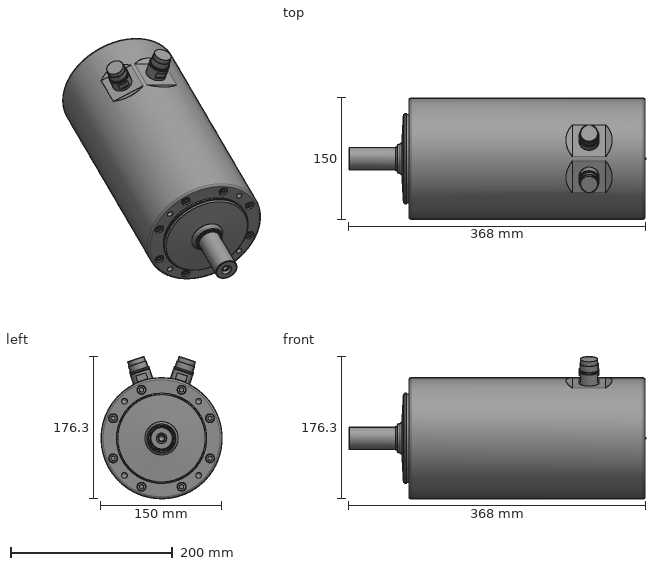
import cadquery as cq
import math


housing_diameter = 150.0
housing_length = 292.5
front_edge_radius = 2.5
rear_edge_radius = 3.0
rear_tip_diameter = 2.2
rear_tip_length = 1.0

pilot_diameter = 110.0
pilot_length = 7.0
pilot_rim_diameter = 112.0
pilot_rim_chamfer = 2.0
pilot_neck_length = 3.3
pilot_cone_length = 2.0

collar_base_diameter = 41.2
collar_diameter = 36.5
collar_face_diameter = 35.0
collar_fillet_radius = 4.0
collar_position = 11.8
collar_face_position = 14.5
seal_diameter = 32.0
seal_position = 15.0
seal_lip_diameter = 29.0
seal_lip_position = 16.5

shaft_diameter = 28.0
shaft_chamfer = 0.7
shaft_length = 74.5
centre_mouth_diameter = 13.0
centre_bore_diameter = 9.0
centre_thread_diameter = 7.0
centre_mouth_depth = 3.3
centre_bore_depth = 4.5
centre_thread_depth = 22.0

bolt_circle_diameter = 130.0
screw_count = 8
screw_first_angle = 22.5
screw_recess_diameter = 11.0
screw_recess_depth = 8.0
screw_head_diameter = 10.0
screw_head_height = 6.0
screw_socket_width = 5.0
hexagon_half_sector = 30
screw_socket_depth = 3.0
thread_count = 4
thread_first_angle = 45
thread_diameter = 7.0
thread_depth = 14.7
drill_point_angle = 118

connector_position = 223.0
connector_tilt = 18
seat_length = 41.2
seat_height = 72.0
seat_ramp_angle = 20

connector_base_diameter = 25.0
connector_base_height = 14.5
connector_flat_spacing = 21.5
connector_flat_bottom = 3.3
connector_flat_height = 7.7
connector_ring_diameter = 25.0
connector_groove_diameter = 23.0
connector_groove_length = 1.0
connector_ring_length = 2.0
connector_sleeve_diameter = 23.0
connector_sleeve_length = 7.7
connector_tip_diameter = 21.5
connector_height = 31.0


def revolved(profile):
    """Turn (X, radius) points about the motor axis."""
    return cq.Workplane("XY").polyline(profile).close().revolve(360, (0, 0, 0), (1, 0, 0))


def drill(diameter, depth, start, y=0.0, z=0.0):
    """Drill along +X with a conical bottom, starting at X = start."""
    radius = diameter / 2
    point_length = radius / math.tan(math.radians(drill_point_angle / 2))
    profile = [(0, 0), (0, radius), (depth, radius), (depth + point_length, 0)]
    return revolved(profile).translate((start, y, z))


def tilted(shape, angle):
    """Swing a shape about the motor axis."""
    return shape.rotate((0, 0, 0), (1, 0, 0), angle)


def bolt_circle(count, first_angle):
    """Y and Z places evenly spaced on the bolt circle."""
    radius = bolt_circle_diameter / 2
    angles = [math.radians(first_angle + 360 / count * i) for i in range(count)]
    return [(radius * math.cos(angle), radius * math.sin(angle)) for angle in angles]


def motor_core():
    """Housing, pilot, seal collar and shaft as one turned shape."""
    housing_radius = housing_diameter / 2
    shaft_radius = shaft_diameter / 2
    pilot_rim_radius = pilot_rim_diameter / 2
    profile = (
        cq.Workplane("XY")
        .moveTo(-shaft_length, 0)
        .lineTo(-shaft_length, shaft_radius - shaft_chamfer)
        .lineTo(-shaft_length + shaft_chamfer, shaft_radius)
        .lineTo(-seal_lip_position, shaft_radius)
        .lineTo(-seal_lip_position, seal_lip_diameter / 2)
        .lineTo(-seal_position, seal_lip_diameter / 2)
        .lineTo(-seal_position, seal_diameter / 2)
        .lineTo(-collar_face_position, seal_diameter / 2)
        .lineTo(-collar_face_position, collar_face_diameter / 2)
        .lineTo(-collar_position, collar_diameter / 2)
        .radiusArc((-pilot_length - pilot_cone_length, collar_base_diameter / 2), -collar_fillet_radius)
        .lineTo(-pilot_length, pilot_rim_radius - pilot_rim_chamfer)
        .lineTo(-pilot_length + pilot_rim_chamfer, pilot_rim_radius)
        .lineTo(-pilot_neck_length, pilot_rim_radius)
        .lineTo(-pilot_neck_length, pilot_diameter / 2)
        .lineTo(0, pilot_diameter / 2)
        .lineTo(0, housing_radius - front_edge_radius)
        .radiusArc((front_edge_radius, housing_radius), front_edge_radius)
        .lineTo(housing_length - rear_edge_radius, housing_radius)
        .radiusArc((housing_length, housing_radius - rear_edge_radius), rear_edge_radius)
        .lineTo(housing_length, rear_tip_diameter / 2)
        .lineTo(housing_length + rear_tip_length, rear_tip_diameter / 2)
        .lineTo(housing_length + rear_tip_length, 0)
        .close()
    )
    return profile.revolve(360, (0, 0, 0), (1, 0, 0))


def shaft_centre_hole():
    """Centre hole in the shaft end: conical mouth, short bore and drilled thread hole."""
    mouth_and_bore = revolved(
        [
            (0, 0),
            (0, centre_mouth_diameter / 2),
            (centre_mouth_depth, centre_bore_diameter / 2),
            (centre_bore_depth, centre_bore_diameter / 2),
            (centre_bore_depth, 0),
        ]
    )
    thread_hole = drill(centre_thread_diameter, centre_thread_depth, -shaft_length)
    return thread_hole.union(mouth_and_bore.translate((-shaft_length, 0, 0)))


def screw_gap():
    """Empty space around and inside one sunk socket screw head."""
    head_top = screw_recess_depth - screw_head_height
    recess = cq.Workplane("YZ").circle(screw_recess_diameter / 2).extrude(screw_recess_depth)
    head = cq.Workplane("YZ").workplane(offset=head_top).circle(screw_head_diameter / 2)
    head = head.extrude(screw_head_height)
    socket_diameter = screw_socket_width / math.cos(math.radians(hexagon_half_sector))
    socket = cq.Workplane("YZ").workplane(offset=head_top).polygon(6, socket_diameter)
    socket = tilted(socket.extrude(screw_socket_depth), hexagon_half_sector)
    return recess.cut(head).union(socket)


def seat_cutter():
    """Flat connector seat with a ramp at each end."""
    rise = housing_diameter / 2
    half_floor = seat_length / 2
    half_top = half_floor + rise / math.tan(math.radians(seat_ramp_angle))
    profile = [
        (-half_floor, seat_height),
        (half_floor, seat_height),
        (half_top, seat_height + rise),
        (-half_top, seat_height + rise),
    ]
    cutter = cq.Workplane("XZ").polyline(profile).close().extrude(housing_diameter / 2, both=True)
    return cutter.translate((connector_position, 0, 0))


def motor():
    body = motor_core().cut(shaft_centre_hole())
    for y, z in bolt_circle(screw_count, screw_first_angle):
        body = body.cut(screw_gap().translate((0, y, z)))
    for y, z in bolt_circle(thread_count, thread_first_angle):
        body = body.cut(drill(thread_diameter, thread_depth, 0, y, z))
    for side in (-1, 1):
        body = body.cut(tilted(seat_cutter(), side * connector_tilt))
    return body


def connector(angle):
    """Round plug standing on its seat, with two wrench flats on the base."""
    groove_top = connector_base_height + connector_groove_length
    ring_top = groove_top + connector_ring_length
    sleeve_top = ring_top + connector_sleeve_length
    steps = [
        (connector_base_diameter, 0, connector_base_height),
        (connector_groove_diameter, connector_base_height, groove_top),
        (connector_ring_diameter, groove_top, ring_top),
        (connector_sleeve_diameter, ring_top, sleeve_top),
        (connector_tip_diameter, sleeve_top, connector_height),
    ]
    profile = [(0, 0)]
    for diameter, bottom, top in steps:
        profile += [(diameter / 2, bottom), (diameter / 2, top)]
    profile.append((0, connector_height))
    plug = cq.Workplane("XZ").polyline(profile).close().revolve(360, (0, 0, 0), (0, 1, 0))
    flat_depth = connector_base_diameter - connector_flat_spacing
    for side in (-1, 1):
        flat = cq.Workplane("XY").box(
            flat_depth, connector_base_diameter, connector_flat_height, centered=(True, True, False)
        )
        plug = plug.cut(flat.translate((side * connector_base_diameter / 2, 0, connector_flat_bottom)))
    return tilted(plug.translate((connector_position, 0, seat_height)), angle)


motor_body = motor()
connectors = [connector(side * connector_tilt) for side in (-1, 1)]

result = cq.Compound.makeCompound([motor_body.val(), *[plug.val() for plug in connectors]])